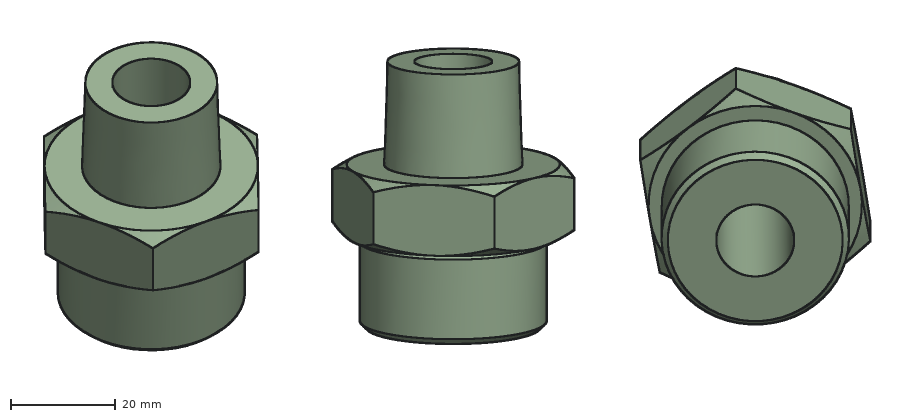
import cadquery as cq
import math

total_height = 52.0
hex_bottom = 18.0
hex_top = 31.8

across_flats = 41.0
across_corners = across_flats / math.cos(math.radians(30))
corner_chamfer_angle = 30.0

lower_diameter = 36.0
lower_chamfer = 1.2

taper_base_diameter = 26.6
taper_ratio = 1 / 16
taper_tip_diameter = taper_base_diameter - taper_ratio * (total_height - hex_top)

bore_diameter = 15.0


def make_lower_end():
    """Cylinder below the hexagon, chamfered at both ends."""
    return cq.Workplane("XY").circle(lower_diameter / 2).extrude(hex_bottom).edges().chamfer(lower_chamfer)


def make_hexagon():
    """Hexagon with flats facing X and corners turned to a cone on both faces."""
    flat_radius = across_flats / 2
    corner_radius = across_corners / 2
    corner_drop = (corner_radius - flat_radius) * math.tan(math.radians(corner_chamfer_angle))
    prism = (
        cq.Workplane("XY", origin=(0, 0, hex_bottom))
        .transformed(rotate=(0, 0, 90))
        .polygon(6, across_corners)
        .extrude(hex_top - hex_bottom)
    )
    envelope = (
        cq.Workplane("XZ")
        .moveTo(0, hex_bottom)
        .lineTo(flat_radius, hex_bottom)
        .lineTo(corner_radius, hex_bottom + corner_drop)
        .lineTo(corner_radius, hex_top - corner_drop)
        .lineTo(flat_radius, hex_top)
        .lineTo(0, hex_top)
        .close()
        .revolve(360, (0, 0, 0), (0, 1, 0))
    )
    return prism.intersect(envelope)


def make_upper_end():
    """Tapered spigot above the hexagon."""
    return (
        cq.Workplane("XZ")
        .moveTo(0, hex_top)
        .lineTo(taper_base_diameter / 2, hex_top)
        .lineTo(taper_tip_diameter / 2, total_height)
        .lineTo(0, total_height)
        .close()
        .revolve(360, (0, 0, 0), (0, 1, 0))
    )


bore = cq.Workplane("XY").circle(bore_diameter / 2).extrude(total_height)
result = make_lower_end().union(make_hexagon()).union(make_upper_end()).cut(bore)